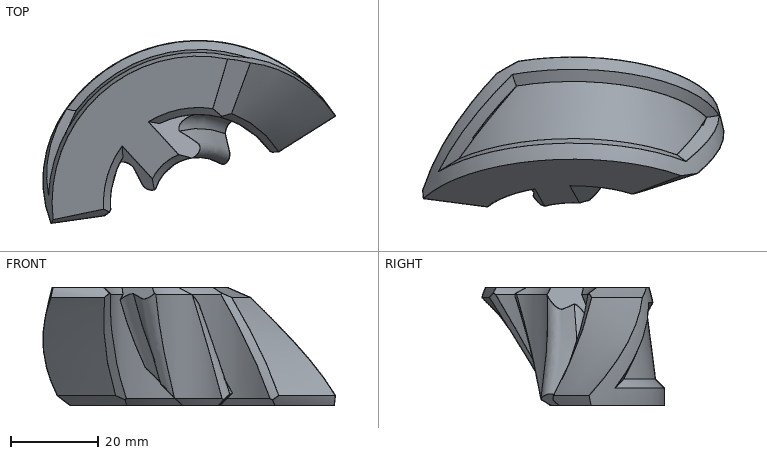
import cadquery as cq
import math

height = 27.13
twist = 45.0
middle_angle = 110.15
sector_half_angle = 59.25

bottom_radius = 37.2
top_radius = 33.6
bore_radius = 20.2
bore_chamfer = 1.6

end_bevel_height = 2.3
end_bevel_width = 3.0
corner_bevel = 1.6

groove_bottom = 4.05
groove_top = 23.65
groove_depth = 1.9
groove_bottom_slope = 2.0
groove_top_slope = 2.45
groove_floor_half_angle = 45.5
groove_mouth_half_angle = 50.3
groove_sections = 5
groove_overrun = 1.0

tooth_bore_radius = 10.3
tooth_face_half_width = 4.1
tooth_root = (18.3, 8.6)
tooth_root_arc_middle = (17.5, 6.9)
tooth_waist = (15.8, 6.2)
tooth_flare = (11.5, 7.5)
tooth_tip_arc_middle = (9.35, 7.0)
tooth_tip = (9.0, 4.5)
tooth_anchor = 22.5

far = 100.0


def centre_line_angle(z):
    """Direction of the sector's centre line at height z."""
    return middle_angle + twist * (z / height - 0.5)


def polar(radius, angle):
    return (radius * math.cos(math.radians(angle)), radius * math.sin(math.radians(angle)))


def wall_radius(z):
    """Radius of the outer wall at height z, following an arc that is upright at z = 0."""
    inset = bottom_radius - top_radius
    arc_radius = (height**2 + inset**2) / (2 * inset)
    return bottom_radius - arc_radius + math.sqrt(arc_radius**2 - z**2)


def mirrored(point):
    return (point[0], -point[1])


def at_height(z):
    """Workplane at height z whose X axis follows the sector's centre line."""
    direction = polar(1.0, centre_line_angle(z))
    return cq.Workplane(cq.Plane((0, 0, z), (direction[0], direction[1], 0), (0, 0, 1)))


def full_turn(outline):
    """Solid of revolution about Z from a (radius, height) outline, which is closed first."""
    return outline.close().revolve(360, (0, 0), (0, 1))


def bore_side(outline, radius):
    """Continue an outline from the top face down a bore with both rims chamfered."""
    face_radius = radius + bore_chamfer
    return (
        outline.lineTo(face_radius, height)
        .lineTo(radius, height - bore_chamfer)
        .lineTo(radius, bore_chamfer)
        .lineTo(face_radius, 0)
    )


def wedge_points(inset):
    """Sector outline with its apex on the axis, both sides moved inward by inset."""
    half = math.radians(sector_half_angle)
    apex = inset / math.sin(half)
    side_x, side_y = polar(far, sector_half_angle)
    return [(apex, 0), (apex + side_x, -side_y), (apex + side_x, side_y)]


def end_bevel_wedge(z_wide, z_narrow):
    """Layer at one face of the sector where both ends close in by the bevel width."""
    wide = at_height(z_wide).polyline(wedge_points(0)).close().wire().val()
    narrow = at_height(z_narrow).polyline(wedge_points(end_bevel_width)).close().wire().val()
    return cq.Workplane(cq.Solid.makeLoft([wide, narrow], True))


def opening_outline(inner_point, outer_point):
    """Outline of the region between a sloping line and its mirror image.

    The line starts at inner_point and runs outward through outer_point.
    """
    slope = (outer_point[0] - inner_point[0]) / (outer_point[1] - inner_point[1])
    line_end = (inner_point[0] + slope * (far - inner_point[1]), far)
    return [inner_point, line_end, (far, far), (far, -far), mirrored(line_end), mirrored(inner_point)]


def make_corner_limit():
    """Region left after bevelling the helical edges between the end faces and the bore."""
    end_corner = polar(bore_radius + corner_bevel, sector_half_angle)
    bevel_angle = math.degrees(corner_bevel / bore_radius)
    bore_corner = polar(bore_radius, sector_half_angle - bevel_angle)
    outline = opening_outline(bore_corner, end_corner)
    return at_height(0).polyline(outline).close().twistExtrude(height, twist)


def make_sector():
    z_low = end_bevel_height
    z_high = height - end_bevel_height
    middle_turn = centre_line_angle(z_high) - centre_line_angle(z_low)
    middle = (
        at_height(z_low)
        .polyline(wedge_points(0))
        .close()
        .twistExtrude(z_high - z_low, middle_turn)
    )
    outer_wall = (
        cq.Workplane("XZ")
        .moveTo(bottom_radius, 0)
        .threePointArc((wall_radius(height / 2), height / 2), (top_radius, height))
    )
    ring = full_turn(bore_side(outer_wall, bore_radius))
    ring = ring.intersect(make_corner_limit())
    sector = ring.intersect(middle)
    sector = sector.union(ring.intersect(end_bevel_wedge(z_low, 0)))
    return sector.union(ring.intersect(end_bevel_wedge(z_high, height)))


def make_groove():
    """Cutter for the outer groove: a ring band limited by sloping helical ends."""
    floor_bottom = groove_bottom + groove_bottom_slope
    floor_top = groove_top - groove_top_slope
    band = full_turn(
        cq.Workplane("XZ")
        .moveTo(wall_radius(groove_bottom), groove_bottom)
        .lineTo(wall_radius(floor_bottom) - groove_depth, floor_bottom)
        .lineTo(wall_radius(floor_top) - groove_depth, floor_top)
        .lineTo(wall_radius(groove_top), groove_top)
        .lineTo(far, groove_top)
        .lineTo(far, groove_bottom)
    )
    low = groove_bottom - groove_overrun
    high = groove_top + groove_overrun
    sections = []
    for index in range(groove_sections):
        z = low + (high - low) * index / (groove_sections - 1)
        floor_corner = polar(wall_radius(z) - groove_depth, groove_floor_half_angle)
        mouth_corner = polar(wall_radius(z), groove_mouth_half_angle)
        outline = opening_outline(floor_corner, mouth_corner)
        sections.append(at_height(z).polyline(outline).close().wire().val())
    return band.intersect(cq.Workplane(cq.Solid.makeLoft(sections)))


def tooth_bevels(z_face, z_other):
    """Prism along the tooth, narrow at one face and spreading at 45 degrees toward the other."""
    foot = tooth_face_half_width + height
    across = polar(1.0, centre_line_angle(z_face) + 90) + (0,)
    along = polar(1.0, centre_line_angle(z_face)) + (0,)
    plane = cq.Plane((0, 0, 0), across, along)
    rise = plane.yDir.z
    return (
        cq.Workplane(plane)
        .polyline([
            (-tooth_face_half_width, rise * z_face),
            (tooth_face_half_width, rise * z_face),
            (foot, rise * z_other),
            (-foot, rise * z_other),
        ])
        .close()
        .extrude(far, both=True)
    )


def make_tooth():
    outline = (
        at_height(0)
        .moveTo(tooth_anchor, tooth_root[1])
        .lineTo(*tooth_root)
        .threePointArc(tooth_root_arc_middle, tooth_waist)
        .lineTo(*tooth_flare)
        .threePointArc(tooth_tip_arc_middle, tooth_tip)
        .lineTo(*mirrored(tooth_tip))
        .threePointArc(mirrored(tooth_tip_arc_middle), mirrored(tooth_flare))
        .lineTo(*mirrored(tooth_waist))
        .threePointArc(mirrored(tooth_root_arc_middle), mirrored(tooth_root))
        .lineTo(tooth_anchor, -tooth_root[1])
        .close()
    )
    tooth = outline.twistExtrude(height, twist)
    outside = cq.Workplane("XZ").moveTo(far, 0).lineTo(far, height)
    limits = full_turn(bore_side(outside, tooth_bore_radius))
    tooth = tooth.intersect(limits)
    tooth = tooth.intersect(tooth_bevels(height, 0))
    return tooth.intersect(tooth_bevels(0, height))


result = make_sector().cut(make_groove()).union(make_tooth())